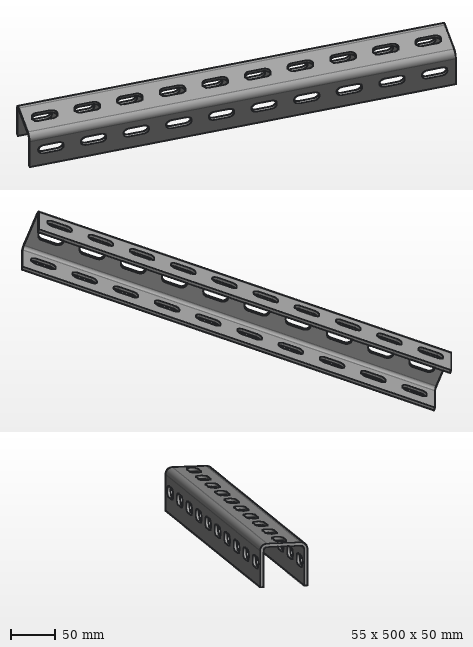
import cadquery as cq

length = 500.0
width = 55.0
height = 50.0
wall = 4.0
outer_radius = 2 * wall
inner_radius = outer_radius - wall

slot_count = 10
slot_pitch = length / slot_count
slot_length = 30.0
slot_width = 13.0
side_slot_height = height / 2


def rounded_bar(bar_width, bar_height, radius):
    """Bar along Y standing on Z = 0, with its two long upper edges rounded."""
    bar = cq.Workplane("XY").box(bar_width, length, bar_height, centered=(True, True, False))
    return bar.edges("|Y and >Z").fillet(radius)


def channel():
    """U-channel of even wall thickness, open downwards."""
    outside = rounded_bar(width, height, outer_radius)
    inside = rounded_bar(width - 2 * wall, height - wall, inner_radius)
    return outside.cut(inside)


def top_slots():
    """Cutters for the row of slots through the top wall."""
    return (
        cq.Workplane("XY", origin=(0, 0, height - wall))
        .rarray(5, slot_pitch, 1, slot_count)
        .slot2D(slot_length, slot_width, angle=90)
        .extrude(wall)
    )


def side_slots():
    """Cutters for the rows of slots through both side walls."""
    return (
        cq.Workplane("YZ", origin=(-width / 2, 0, side_slot_height))
        .rarray(slot_pitch, 5, slot_count, 1)
        .slot2D(slot_length, slot_width)
        .extrude(width)
    )


result = channel().cut(top_slots()).cut(side_slots())